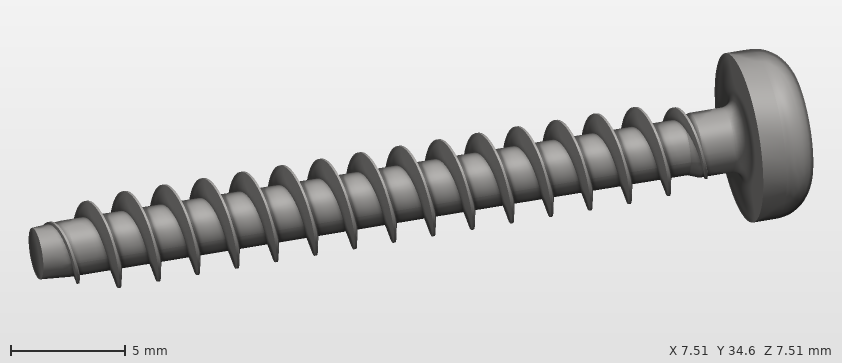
import cadquery as cq
import math

total_length = 34.6

head_radius = 3.753
head_height = 2.55
rim_height = 1.07
head_top_radius = 2.8

neck_radius = 1.435
neck_fillet = 0.57
neck_length = 2.05
neck_taper_length = 0.52
core_radius = 1.25
tip_radius = 1.15
tip_taper_length = 1.4
tip_y = head_height - total_length

pitch = 1.79
thread_radius = 2.08
crest_half_width = 0.052
flank_angle = 15.0
thread_root_radius = 1.0
thread_start_radius = 1.4
thread_end_radius = 1.18
thread_start_y = -1.15
thread_turns = 17
start_fade_turns = 1.5
end_fade_turns = 1.4
points_per_turn = 16


def make_body():
    """Revolve head, neck, core and tip in one piece around Y."""
    dome_height = head_height - rim_height
    dome_inset = head_radius - head_top_radius
    dome_radius = (dome_height**2 + dome_inset**2) / (2 * dome_inset)
    half_sweep = math.asin(dome_height / dome_radius) / 2
    dome_middle = (
        head_radius - dome_radius * (1 - math.cos(half_sweep)),
        rim_height + dome_radius * math.sin(half_sweep),
    )
    fillet_reach = neck_fillet * (1 - math.sqrt(0.5))
    profile = (
        cq.Workplane("XY")
        .moveTo(0, head_height)
        .lineTo(head_top_radius, head_height)
        .threePointArc(dome_middle, (head_radius, rim_height))
        .lineTo(head_radius, 0)
        .lineTo(neck_radius + neck_fillet, 0)
        .threePointArc(
            (neck_radius + fillet_reach, -fillet_reach),
            (neck_radius, -neck_fillet),
        )
        .lineTo(neck_radius, -neck_length)
        .lineTo(core_radius, -neck_length - neck_taper_length)
        .lineTo(core_radius, tip_y + tip_taper_length)
        .lineTo(tip_radius, tip_y)
        .lineTo(0, tip_y)
        .close()
    )
    return profile.revolve(360, (0, 0, 0), (0, 1, 0))


def crest_radius(turn):
    """Crest radius after a number of turns, fading out at both ends."""
    start_share = turn / start_fade_turns
    end_share = (thread_turns - turn) / end_fade_turns
    return min(
        thread_radius,
        thread_start_radius + (thread_radius - thread_start_radius) * start_share,
        thread_end_radius + (thread_radius - thread_end_radius) * end_share,
    )


def thread_edge(first_turn, on_crest, side):
    """One turn of helical edge on the crest or root, head side (+1) or tip side (-1)."""
    points = []
    turns = [first_turn + i / points_per_turn for i in range(points_per_turn + 1)]
    for turn in turns:
        crest = crest_radius(turn)
        radius = crest if on_crest else thread_root_radius
        flank_run = (crest - radius) * math.tan(math.radians(flank_angle))
        angle = math.pi + 2 * math.pi * turn
        y = thread_start_y - pitch * turn + side * (crest_half_width + flank_run)
        points.append(cq.Vector(radius * math.cos(angle), y, radius * math.sin(angle)))
    return cq.Edge.makeSpline(points, parameters=turns)


def end_cap(edges, end):
    """Flat cap across the start (0) or finish (1) of the four helical edges."""
    corners = [edge.positionAt(end) for edge in edges]
    return cq.Face.makeFromWires(cq.Wire.makePolygon(corners, close=True))


def make_thread():
    """Close turn-long helical strips and two end caps into a solid ridge."""
    faces = []
    for turn in range(thread_turns):
        edges = [
            thread_edge(turn, False, 1),
            thread_edge(turn, True, 1),
            thread_edge(turn, True, -1),
            thread_edge(turn, False, -1),
        ]
        neighbours = edges[1:] + edges[:1]
        faces += [cq.Face.makeRuledSurface(a, b) for a, b in zip(edges, neighbours)]
        if turn == 0:
            faces.append(end_cap(edges, 0))
    faces.append(end_cap(edges, 1))
    ridge = cq.Solid.makeSolid(cq.Shell.makeShell(faces))
    return cq.Workplane("XY").newObject([ridge.fix()])


result = make_body().union(make_thread())